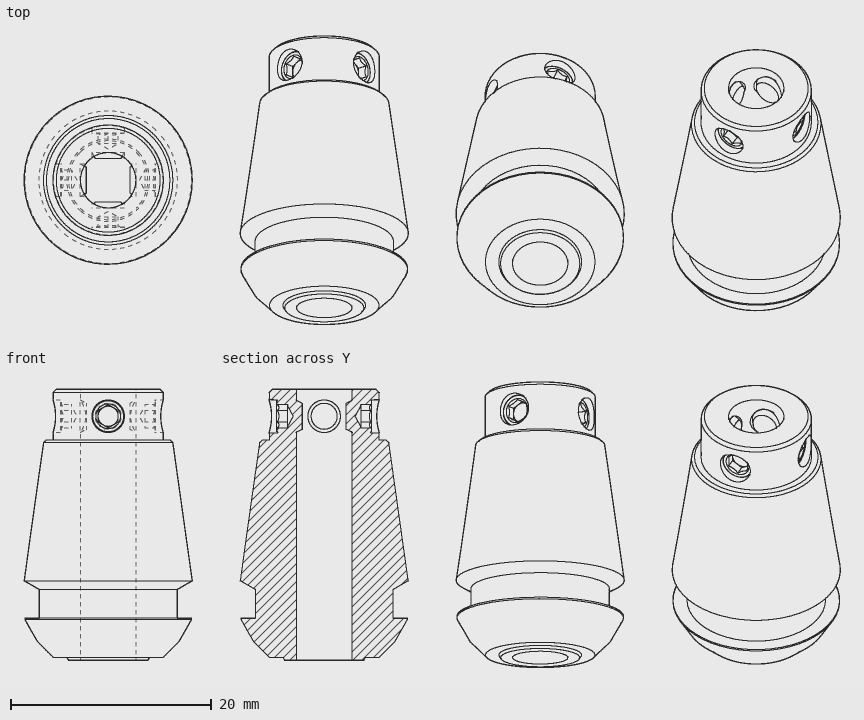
import cadquery as cq
import math

total_height = 27.0
boss_height = 0.27
nose_break_z = 1.9
flange_edge_z = 4.05
flange_top_z = 4.2
taper_bottom_z = 7.9
shoulder_z = 21.95

boss_end_diameter = 7.88
boss_root_diameter = 8.24
nose_end_diameter = 10.9
nose_break_diameter = 14.15
flange_diameter = 16.6
groove_diameter = 13.8
taper_diameter = 16.77
collar_diameter = 11.0
bore_diameter = 5.5

taper_angle = 8.0
groove_wall_angle = 30.0
shoulder_chamfer_height = 0.25
shoulder_chamfer_width = 0.3
collar_chamfer = 0.32

screw_count = 4
screw_z = 24.3
screw_diameter = 3.25
screw_outer_radius = 4.72
screw_inner_radius = 2.15
screw_tip_chamfer_length = 0.62
screw_tip_chamfer_width = 0.32
screw_rim_chamfer = 0.08
socket_mouth_diameter = 2.45
socket_flats = 2.0
socket_depth = 1.08
socket_cone_depth = 0.55


def make_body():
    """Revolve the outer profile and drill the bore straight through."""
    groove_depth = (taper_diameter - groove_diameter) / 2
    groove_wall_height = groove_depth * math.tan(math.radians(groove_wall_angle))
    chamfer_bottom_z = shoulder_z - shoulder_chamfer_height
    taper_run = (chamfer_bottom_z - taper_bottom_z) * math.tan(math.radians(taper_angle))
    taper_top_radius = taper_diameter / 2 - taper_run
    profile = [
        (0, 0),
        (boss_end_diameter / 2, 0),
        (boss_root_diameter / 2, boss_height),
        (nose_end_diameter / 2, boss_height),
        (nose_break_diameter / 2, nose_break_z),
        (flange_diameter / 2, flange_edge_z),
        (flange_diameter / 2, flange_top_z),
        (groove_diameter / 2, flange_top_z),
        (groove_diameter / 2, taper_bottom_z - groove_wall_height),
        (taper_diameter / 2, taper_bottom_z),
        (taper_top_radius, chamfer_bottom_z),
        (taper_top_radius - shoulder_chamfer_width, shoulder_z),
        (collar_diameter / 2, shoulder_z),
        (collar_diameter / 2, total_height - collar_chamfer),
        (collar_diameter / 2 - collar_chamfer, total_height),
        (0, total_height),
    ]
    body = cq.Workplane("XZ").polyline(profile).close().revolve(360, (0, 0), (0, 1))
    bore = cq.Workplane("XY").circle(bore_diameter / 2).extrude(total_height)
    return body.cut(bore)


def make_cone(large_diameter, small_diameter, height):
    """Cone along +Z with its large end at Z = 0."""
    return cq.Workplane(cq.Solid.makeCone(large_diameter / 2, small_diameter / 2, height))


def make_socket():
    """Hexagon socket running down from Z = 0, with a countersunk mouth and a conical bottom."""
    across_corners = socket_flats / math.cos(math.radians(30))
    mouth_depth = (socket_mouth_diameter - socket_flats) / 2
    hexagon = cq.Workplane("XY").polygon(6, across_corners).extrude(-socket_depth)
    bottom = make_cone(socket_flats, 0, socket_cone_depth).mirror("XY").translate((0, 0, -socket_depth))
    mouth = make_cone(socket_mouth_diameter, socket_flats, mouth_depth).mirror("XY")
    return hexagon.union(bottom).union(mouth)


def make_screw():
    """Set screw on the Z axis, socket end up at the outer radius and tip towards the centre."""
    tip_base = screw_inner_radius + screw_tip_chamfer_length
    rim_base = screw_outer_radius - screw_rim_chamfer
    screw_profile = [
        (0, screw_inner_radius),
        (screw_diameter / 2 - screw_tip_chamfer_width, screw_inner_radius),
        (screw_diameter / 2, tip_base),
        (screw_diameter / 2, rim_base),
        (screw_diameter / 2 - screw_rim_chamfer, screw_outer_radius),
        (0, screw_outer_radius),
    ]
    shank = cq.Workplane("XZ").polyline(screw_profile).close().revolve(360, (0, 0), (0, 1))
    return shank.cut(make_socket().translate((0, 0, screw_outer_radius)))


def place_radially(shape, angle):
    """Lay a Z-axis shape down so it points outwards at the given angle, at screw height."""
    lying = shape.rotate((0, 0, 0), (0, 1, 0), 90)
    return lying.rotate((0, 0, 0), (0, 0, 1), angle).translate((0, 0, screw_z))


def add_screws(body):
    """Drill the radial holes and seat a screw in each one."""
    hole_start = bore_diameter / 4
    hole = (
        cq.Workplane("XY").workplane(offset=hole_start)
        .circle(screw_diameter / 2)
        .extrude(collar_diameter / 2 - hole_start)
    )
    screw = make_screw()

    for index in range(screw_count):
        angle = index * 360 / screw_count
        body = body.cut(place_radially(hole, angle)).union(place_radially(screw, angle))
    return body


result = add_screws(make_body())